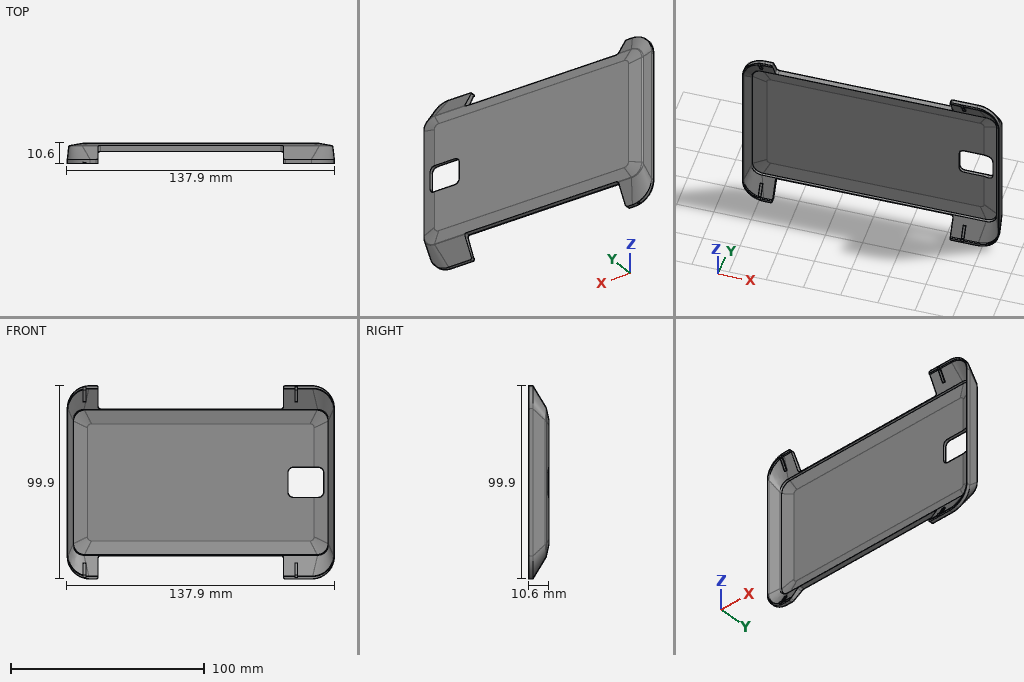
import cadquery as cq
import math

length = 137.9
height = 99.9
depth = 10.6

rim_corner_radius = 11.9
lip_depth = 2.2
shoulder_y = 9.2
shoulder_length = 136.3
shoulder_height = 76.7
shoulder_corner_radius = 6.9
back_length = 120.8
back_height = 64.0
back_corner_radius = 2.8
shoulder_fillet = 0.8

mouth_flare = 0.3
mouth_depth = 0.7
rim_end_width = 0.5
rim_side_width = 1.7
cavity_rim_radius = 10.6
cavity_bend_y = 6.3
cavity_bend_length = 131.9
cavity_bend_height = 75.3
cavity_bend_radius = 5.7
bevel_end_y = 7.5
bevel_end_length = 131.3
bevel_end_height = 74.5
floor_y = 8.8
floor_length = 117.0
floor_height = 60.4
floor_corner_radius = 2.0

opening_left = -53.0
opening_right = 42.6
opening_root_radius = 1.2
opening_gap = 75.9
tab_corner_radius = 1.1

window_center_x = 54.2
window_length = 18.3
window_height = 15.5
window_corner_radius = 2.8

rib_width = 1.4
rib_centers_x = (-60.0, 49.2)
rib_start_z = 41.7
rib_proud = 0.3
rib_embed = 0.4

cavity_rim_length = length - 2 * rim_end_width
cavity_rim_height = height - 2 * rim_side_width


def outline(y, size_x, size_z, radius):
    """Rounded rectangle in the plane at the given Y."""
    wire = cq.Workplane("XZ", origin=(0, y, 0)).rect(size_x, size_z).val()
    return wire.fillet2D(radius, wire.Vertices())


def make_outer():
    rim = outline(0, length, height, rim_corner_radius)
    lip = outline(lip_depth, length, height, rim_corner_radius)
    shoulder = outline(shoulder_y, shoulder_length, shoulder_height, shoulder_corner_radius)
    back = outline(depth, back_length, back_height, back_corner_radius)
    outer = cq.Workplane(cq.Solid.makeLoft([rim, lip, shoulder, back], True))
    band = (depth - shoulder_y) / 4
    shoulder_edges = cq.selectors.BoxSelector(
        (-length, shoulder_y - band, -height), (length, shoulder_y + band, height)
    )
    return outer.edges(shoulder_edges).fillet(shoulder_fillet)


def make_cavity():
    """Flared mouth, sloping walls, a small step and a shallow bevel down to the floor."""
    mouth_length = cavity_rim_length + 2 * mouth_flare
    mouth_height = cavity_rim_height + 2 * mouth_flare
    mouth = outline(0, mouth_length, mouth_height, cavity_rim_radius + mouth_flare)
    rim = outline(mouth_depth, cavity_rim_length, cavity_rim_height, cavity_rim_radius)
    bend = outline(cavity_bend_y, cavity_bend_length, cavity_bend_height, cavity_bend_radius)
    step = outline(bevel_end_y, bevel_end_length, bevel_end_height, cavity_bend_radius)
    floor = outline(floor_y, floor_length, floor_height, floor_corner_radius)
    return cq.Workplane(cq.Solid.makeLoft([mouth, rim, bend, step, floor], True))


def make_side_opening(side):
    """Cutter for one long side: filleted at its roots, flared to round the tab tips."""
    root_z = side * opening_gap / 2
    tip_z = side * height / 2
    r = opening_root_radius
    c = tab_corner_radius
    k = 1 - math.sqrt(0.5)
    x0 = opening_left
    x1 = opening_right
    return (
        cq.Workplane("XZ")
        .moveTo(x0 + r, root_z)
        .lineTo(x1 - r, root_z)
        .threePointArc((x1 - k * r, root_z + side * k * r), (x1, root_z + side * r))
        .lineTo(x1, tip_z - side * c)
        .threePointArc((x1 + k * c, tip_z - side * k * c), (x1 + c, tip_z))
        .lineTo(x0 - c, tip_z)
        .threePointArc((x0 - k * c, tip_z - side * k * c), (x0, tip_z - side * c))
        .lineTo(x0, root_z + side * r)
        .threePointArc((x0 + k * r, root_z + side * k * r), (x0 + r, root_z))
        .close()
        .extrude(-depth)
    )


def make_window():
    return (
        cq.Workplane("XZ")
        .center(window_center_x, 0)
        .rect(window_length, window_height)
        .extrude(-depth)
        .edges("|Y")
        .fillet(window_corner_radius)
    )


def make_rib(center_x, side):
    """Strip along the sloping inside face of a tab, square at its inner end and flush with the rim."""
    wall_z = cavity_rim_height / 2
    slope_run = wall_z - cavity_bend_height / 2
    slope_depth = cavity_bend_y - mouth_depth
    slope_length = math.hypot(slope_run, slope_depth)
    z_per_thickness = slope_length / slope_depth
    proud_z = wall_z - rib_proud * z_per_thickness
    embedded_z = wall_z + rib_embed * z_per_thickness

    def end_point(offset):
        """Point on the inner end, at a distance into the wall from the sloping face."""
        face_y = mouth_depth + (wall_z - rib_start_z) * slope_depth / slope_run
        y = face_y + offset * slope_run / slope_length
        z = rib_start_z + offset * slope_depth / slope_length
        return y, side * z

    profile = [
        (0, side * proud_z),
        (0, side * embedded_z),
        (mouth_depth, side * embedded_z),
        end_point(rib_embed),
        end_point(-rib_proud),
        (mouth_depth, side * proud_z),
    ]
    plane = cq.Workplane("YZ", origin=(center_x, 0, 0))
    return plane.polyline(profile).close().extrude(rib_width / 2, both=True)


ribs = [make_rib(x, side) for x in rib_centers_x for side in (1, -1)]

shell = make_outer().cut(make_cavity()).cut(make_window())
for side in (1, -1):
    shell = shell.cut(make_side_opening(side))
for rib in ribs:
    shell = shell.cut(rib)

result = cq.Compound.makeCompound([shell.val(), *[rib.val() for rib in ribs]])